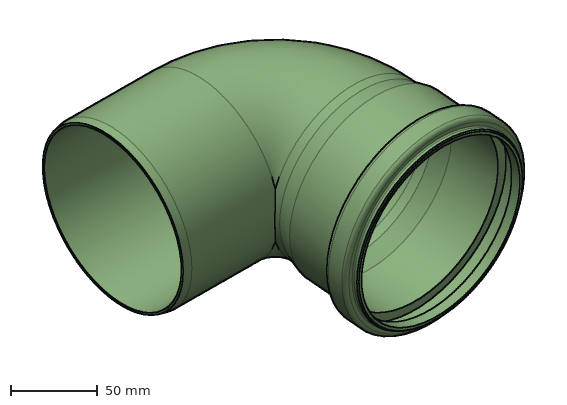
import cadquery as cq
import math

PIPE_RADIUS = 125.2 / 2
BORE_RADIUS = 119.6 / 2
BEND_ANGLE = 87.5
BEND_RADIUS = 59.3

OVERALL_LENGTH = 206.5
TIP_LENGTH = 5.4
TIP_INSET = 1.2

SOCKET_RADIUS = 131.8 / 2
SOCKET_BORE_RADIUS = 126.0 / 2
BEAD_RADIUS = 144.5 / 2
GROOVE_RADIUS = 138.8 / 2
WALL = BEAD_RADIUS - GROOVE_RADIUS

NECK_END = 6.8
FLARE_END = 18.5
BEAD_START = 54.5
BEAD_END = 71.5
SOCKET_END = 75.6
BEAD_ROUND = 2.9
BEAD_ROOT_FILLET = 0.8
LIP_CHAMFER = 0.8

TILT = math.radians(90 - BEND_ANGLE)
BEAD_REACH = (
    (BEND_RADIUS + BEAD_RADIUS - BEAD_ROUND) * math.cos(TILT)
    + (BEAD_END - BEAD_ROUND) * math.sin(TILT)
    + BEAD_ROUND
)
SPIGOT_LENGTH = OVERALL_LENGTH - BEAD_REACH


def elbow(radius):
    """Round bend, limited to the outer side of its turning axis."""
    half_chord = math.sqrt(radius**2 - BEND_RADIUS**2)
    section = (
        cq.Workplane("XZ")
        .moveTo(BEND_RADIUS, half_chord)
        .threePointArc((-radius, 0), (BEND_RADIUS, -half_chord))
        .close()
    )
    return section.revolve(BEND_ANGLE, (BEND_RADIUS, 0), (BEND_RADIUS, -1))


def turned(points):
    """Solid of revolution about Y from (radius, station) points."""
    return cq.Workplane("XY").polyline(points).close().revolve(360, (0, 0, 0), (0, 1, 0))


def to_bend_end(body):
    """Carry a body built along +Y to the end of the bend."""
    return body.rotate((BEND_RADIUS, 0, 0), (BEND_RADIUS, 0, 1), -BEND_ANGLE)


spigot = turned([
    (0, -SPIGOT_LENGTH),
    (PIPE_RADIUS - TIP_INSET, -SPIGOT_LENGTH),
    (PIPE_RADIUS, TIP_LENGTH - SPIGOT_LENGTH),
    (PIPE_RADIUS, 0),
    (0, 0),
])
spigot_bore = cq.Workplane("XZ").circle(BORE_RADIUS).extrude(SPIGOT_LENGTH)

socket_barrel = turned([
    (0, 0),
    (PIPE_RADIUS, 0),
    (PIPE_RADIUS, NECK_END),
    (SOCKET_RADIUS, FLARE_END),
    (SOCKET_RADIUS, SOCKET_END - LIP_CHAMFER),
    (SOCKET_RADIUS - LIP_CHAMFER, SOCKET_END),
    (0, SOCKET_END),
])
bead = cq.Workplane("XZ", origin=(0, BEAD_START, 0)).circle(BEAD_RADIUS).extrude(BEAD_START - BEAD_END)
bead = bead.edges().fillet(BEAD_ROUND)



def is_bead_root(edge):
    """True for the two circles where the bead meets the barrel."""
    station = edge.Center().y
    on_barrel = edge.geomType() == "CIRCLE" and math.isclose(edge.radius(), SOCKET_RADIUS)
    return on_barrel and BEAD_START - BEAD_ROUND < station < BEAD_END + BEAD_ROUND


socket_outside = socket_barrel.union(bead)
socket = to_bend_end(socket_outside.edges().filter(is_bead_root).fillet(BEAD_ROOT_FILLET))

socket_bore = to_bend_end(turned([
    (0, 0),
    (BORE_RADIUS, 0),
    (BORE_RADIUS, NECK_END),
    (SOCKET_BORE_RADIUS, FLARE_END),
    (SOCKET_BORE_RADIUS, BEAD_START + WALL),
    (GROOVE_RADIUS, BEAD_START + WALL),
    (GROOVE_RADIUS, BEAD_END - WALL),
    (SOCKET_BORE_RADIUS, BEAD_END - WALL),
    (SOCKET_BORE_RADIUS, SOCKET_END),
    (0, SOCKET_END),
]))

outside = elbow(PIPE_RADIUS).union(spigot).union(socket)
result = outside.cut(elbow(BORE_RADIUS)).cut(spigot_bore).cut(socket_bore)